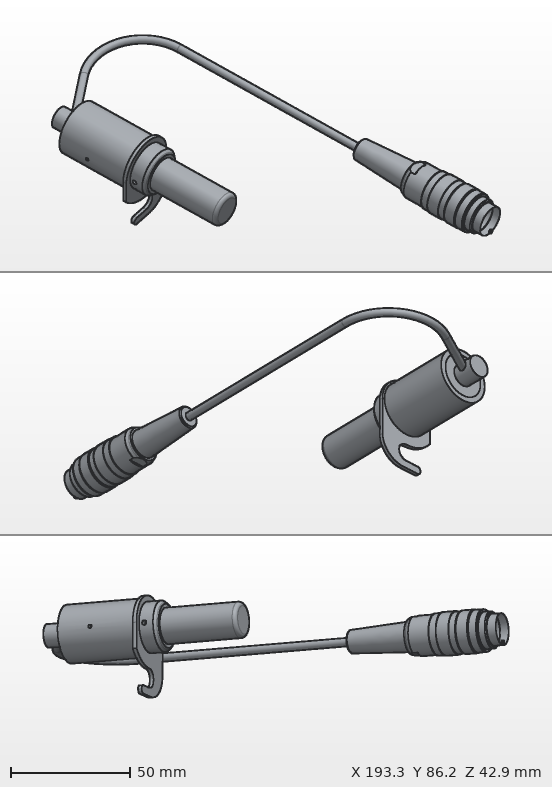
import cadquery as cq
import math


probe_y = 0.0
connector_y = 63.4

stub_rear_x = 12.5
stub_dia = 10.0
core_dia = 20.0
tube_dia = 15.5
tube_front_x = 102.0
tube_front_fillet = 1.7

sleeve_rear_x = 22.5
sleeve_dia = 25.0
sleeve_screw_dia = 1.49
sleeve_screw_x = 37.3

plate_rear_x = 57.5
plate_thickness = 1.7
plate_radius = 13.5
plate_bottom_z = -29.4
plate_heel_radius = 11.6
cam_edge_radius = 17.5
slot_radius = 4.0
hook_tip_y = -8.1
hook_tip_fillet = 1.7

collar_dia = 21.8
collar_length = 8.1
collar_bevel_length = 1.7
collar_lip_length = 0.5
collar_lip_dia = 20.0
collar_front_dia = 18.5
collar_screw_dia = 2.0
collar_screw_offset = 2.3

cable_dia = 3.7
bend_radius = 25.0
lead_angle = 30.0

boot_rear_x = 123.1
boot_rear_dia = 10.0
boot_front_dia = 13.1
boot_chamfer = 0.5
connector_rear_x = 151.0
connector_rear_dia = 15.3
rear_bevel_end_x = 151.7
rear_bevel_end_dia = 16.0
shell_dia = 17.2
shell_taper_end_x = 153.3
band_dia = 18.0
grip_dia = 18.5
front_band_dia = 18.2
first_band_x = 162.8
first_grip_x = 166.2
middle_band_x = 172.0
second_grip_x = 175.5
front_band_x = 181.1
collet_x = 185.2
front_band_end_dia = 17.8
band_step = 0.5
collet_dia = 15.9
collet_chamfer = 0.5
nose_rear_x = 188.7
nose_dia = 13.5
nose_front_x = 192.7
flat_height = 7.7
flat_front_x = 155.5
key_dia = 2.0
key_front_x = 193.3

plate_front_x = plate_rear_x + plate_thickness
collar_front_x = plate_front_x + collar_length
bend_x = cable_dia / 2 + bend_radius
bend_y = connector_y - bend_radius


def rod(start_x, end_x, diameter, y=probe_y, z=0.0):
    """Solid cylinder along +X."""
    section = cq.Workplane("YZ", origin=(start_x, y, z)).circle(diameter / 2)
    return section.extrude(end_x - start_x)


def turned(profile, axis_y):
    """Solid of revolution about a line parallel to X, from (x, diameter) pairs."""
    outline = [(profile[0][0], 0)]
    outline += [(x, diameter / 2) for x, diameter in profile]
    outline += [(profile[-1][0], 0)]
    plane = cq.Workplane("XY", origin=(0, axis_y, 0))
    return plane.polyline(outline).close().revolve(360, (0, 0), (1, 0))


def screw_hole(x, diameter, outer_dia):
    """Radial drill from the probe axis out through the -Y side."""
    return cq.Workplane("XZ", origin=(x, 0, 0)).circle(diameter / 2).extrude(outer_dia)


def make_core():
    stub = rod(stub_rear_x, sleeve_rear_x, stub_dia)
    body = rod(sleeve_rear_x, plate_rear_x, core_dia)
    tube = rod(plate_rear_x, tube_front_x, tube_dia)
    tube = tube.faces(">X").edges().fillet(tube_front_fillet)
    return stub.union(body).union(tube)


def make_sleeve():
    sleeve = rod(sleeve_rear_x, plate_rear_x, sleeve_dia)
    sleeve = sleeve.cut(rod(sleeve_rear_x, plate_rear_x, core_dia))
    return sleeve.cut(screw_hole(sleeve_screw_x, sleeve_screw_dia, sleeve_dia))


def make_hook_plate():
    heel_y = plate_radius - plate_heel_radius
    heel_z = plate_bottom_z + plate_heel_radius
    heel_mid = plate_heel_radius * math.sqrt(0.5)
    slot_z = -cam_edge_radius - slot_radius
    slot_bottom_z = slot_z - slot_radius
    cam_end_z = -math.sqrt(cam_edge_radius**2 - plate_radius**2)
    cam_mid_angle = math.asin(plate_radius / cam_edge_radius) / 2
    cam_mid = (
        -cam_edge_radius * math.sin(cam_mid_angle),
        -cam_edge_radius * math.cos(cam_mid_angle),
    )
    plate = (
        cq.Workplane("YZ", origin=(plate_rear_x, 0, 0))
        .moveTo(-plate_radius, 0)
        .threePointArc((0, plate_radius), (plate_radius, 0))
        .lineTo(plate_radius, heel_z)
        .threePointArc((heel_y + heel_mid, heel_z - heel_mid), (heel_y, plate_bottom_z))
        .lineTo(hook_tip_y, plate_bottom_z)
        .lineTo(hook_tip_y, slot_bottom_z)
        .lineTo(0, slot_bottom_z)
        .threePointArc((slot_radius, slot_z), (0, -cam_edge_radius))
        .threePointArc(cam_mid, (-plate_radius, cam_end_z))
        .close()
        .extrude(plate_thickness)
    )
    tip_corners = cq.selectors.BoxSelector(
        (plate_rear_x, hook_tip_y - hook_tip_fillet, plate_bottom_z - hook_tip_fillet),
        (plate_front_x, hook_tip_y + hook_tip_fillet, slot_bottom_z + hook_tip_fillet),
    )
    plate = plate.edges("|X").edges(tip_corners).fillet(hook_tip_fillet)
    return plate.cut(rod(plate_rear_x, plate_front_x, tube_dia))


def make_collar():
    profile = [
        (plate_front_x, collar_dia),
        (collar_front_x - collar_bevel_length, collar_dia),
        (collar_front_x - collar_lip_length, collar_lip_dia),
        (collar_front_x, collar_front_dia),
    ]
    collar = turned(profile, probe_y)
    collar = collar.cut(rod(plate_front_x, collar_front_x, tube_dia))
    screw_x = plate_front_x + collar_screw_offset
    return collar.cut(screw_hole(screw_x, collar_screw_dia, collar_dia))


def make_cable(core):
    """Straight run from the boot, a bend, and a lead that ends on the side of the stub."""
    lead = math.radians(lead_angle)
    bend_end_x = bend_x - bend_radius * math.cos(lead)
    bend_end_y = bend_y - bend_radius * math.sin(lead)
    stub_entry_x = bend_end_x + bend_end_y * math.tan(lead)
    mid_angle = (math.pi / 2 + math.pi + lead) / 2
    bend_mid = (
        bend_x + bend_radius * math.cos(mid_angle),
        bend_y + bend_radius * math.sin(mid_angle),
    )
    path = (
        cq.Workplane("XY")
        .moveTo(boot_rear_x, connector_y)
        .lineTo(bend_x, connector_y)
        .threePointArc(bend_mid, (bend_end_x, bend_end_y))
        .lineTo(stub_entry_x, probe_y)
    )
    section = cq.Workplane("YZ", origin=(boot_rear_x, connector_y, 0)).circle(cable_dia / 2)
    return section.sweep(path).cut(core)


def make_boot():
    profile = [
        (boot_rear_x, boot_rear_dia - 2 * boot_chamfer),
        (boot_rear_x + boot_chamfer, boot_rear_dia),
        (connector_rear_x, boot_front_dia),
    ]
    return turned(profile, connector_y)


def make_connector():
    profile = [
        (connector_rear_x, connector_rear_dia),
        (rear_bevel_end_x, rear_bevel_end_dia),
        (shell_taper_end_x, shell_dia),
        (first_band_x, shell_dia),
        (first_band_x, band_dia),
        (first_grip_x, band_dia),
        (first_grip_x, grip_dia),
        (middle_band_x, grip_dia),
        (middle_band_x, band_dia),
        (second_grip_x - band_step, band_dia),
        (second_grip_x, grip_dia),
        (front_band_x - band_step, grip_dia),
        (front_band_x, front_band_dia),
        (collet_x - band_step, front_band_dia),
        (collet_x, front_band_end_dia),
        (collet_x, collet_dia),
        (nose_rear_x - collet_chamfer, collet_dia),
        (nose_rear_x, collet_dia - 2 * collet_chamfer),
        (nose_rear_x, nose_dia),
        (nose_front_x, nose_dia),
    ]
    connector = turned(profile, connector_y)
    flat_length = flat_front_x - connector_rear_x
    for side in (1, -1):
        flat_cut = cq.Workplane("XY").box(flat_length, shell_dia, shell_dia)
        flat_cut = flat_cut.translate(
            (
                connector_rear_x + flat_length / 2,
                connector_y,
                side * (flat_height + shell_dia / 2),
            )
        )
        connector = connector.cut(flat_cut)
    key_z = (key_dia - nose_dia) / 2
    return connector.union(rod(nose_rear_x, key_front_x, key_dia, connector_y, key_z))


core = make_core()
sleeve = make_sleeve()
hook_plate = make_hook_plate()
collar = make_collar()
cable = make_cable(core)
boot = make_boot()
connector = make_connector()

result = cq.Compound.makeCompound(
    [
        core.val(),
        sleeve.val(),
        hook_plate.val(),
        collar.val(),
        cable.val(),
        boot.val(),
        connector.val(),
    ]
)